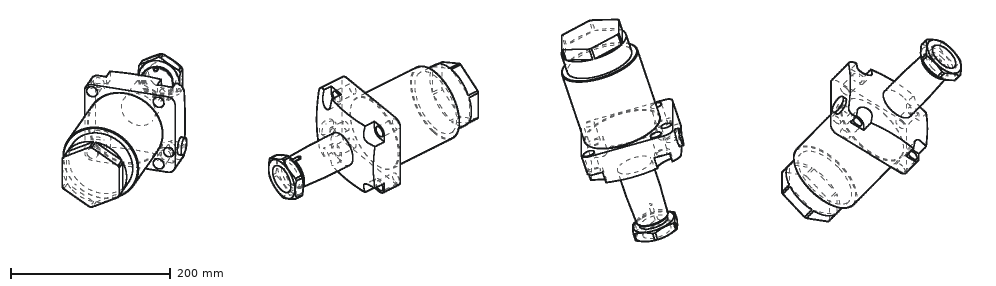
import cadquery as cq
import math


flange_half = 54.0
flange_right = 66.0
corner_radius = 10.0
crown_top = 51.0
crown_flat_radius = 24.5
crown_angle = 15.0

bolt_offset = 44.0
bolt_hole_radius = 7.0
bolt_seat_radius = 10.2
bolt_seat_height = 25.5

barrel_radius = 50.0
barrel_length = 98.0
barrel_chamfer = 1.0
cap_radius = 42.5
cap_end = 122.0
overall_length = 284.0
hex_end = 137.2
cap_hex_flats = 75.3

port_x = 57.5
port_radius = 6.5
plug_y = 20.5
plug_z = -25.0
plug_radius = 11.5
plug_thickness = 4.8

rod_diameter = 45.2
rod_radius = rod_diameter / 2
taper_start = 89.0
taper_end = 127.2
taper_end_diameter = 41.7
taper_end_radius = taper_end_diameter / 2
taper_chamfer_length = 1.5
taper_chamfer_depth = 0.9
neck_start = taper_end + taper_chamfer_length
stud_radius = 18.5
rod_end = overall_length - hex_end
notch_radius = 2.3
notch_bottom = 118.7
drill_point_angle = 90.0

nut_flats = 54.8
nut_thickness = 13.3
nut_corner_radius = 30.7
nut_face_radius = 26.7
nut_chamfer_height = 1.7


def hex_prism(flats, start, end):
    """Hexagonal bar along Y with two flats facing +X and -X."""
    across_corners = flats / math.cos(math.pi / 6)
    return (
        cq.Workplane("XZ", origin=(0, start, 0))
        .transformed(rotate=(0, 0, 30))
        .polygon(6, across_corners)
        .extrude(start - end)
    )


def cylinder(radius, start, end, x=0, z=0):
    """Round bar along Y."""
    return cq.Workplane("XZ", origin=(x, start, z)).circle(radius).extrude(start - end)


def turned(points):
    """Solid of revolution about Y from (radius, y) points."""
    return cq.Workplane("XY").polyline(points).close().revolve(360, (0, 0), (0, 1))


def make_flange():
    width = flange_half + flange_right
    middle_x = (flange_right - flange_half) / 2
    plate = (
        cq.Workplane("XZ", origin=(middle_x, 0, 0))
        .rect(width, 2 * flange_half)
        .extrude(-crown_top)
        .edges("|Y")
        .fillet(corner_radius)
    )
    cone_base = crown_flat_radius + crown_top / math.tan(math.radians(crown_angle))
    crown = turned([(0, 0), (cone_base, 0), (crown_flat_radius, crown_top), (0, crown_top)])
    return plate.intersect(crown)


def seat_block(x_size, z_size, x, z):
    """Rectangular cutter centred on (x, z), from the bolt seats up past the crown."""
    return (
        cq.Workplane("XZ", origin=(x, bolt_seat_height, z))
        .rect(x_size, z_size)
        .extrude(bolt_seat_height - crown_top)
    )


def bolt_seat(side, level):
    """Recess for one bolt head; side and level are -1 or 1 along X and Z."""
    x = side * bolt_offset
    z = level * bolt_offset
    width = 2 * bolt_seat_radius
    reach = 2 * bolt_seat_radius
    outer_x = x + side * reach / 2
    outer_z = z + level * reach / 2
    seat = cylinder(bolt_seat_radius, bolt_seat_height, crown_top, x, z)
    seat = seat.union(seat_block(width, reach, x, outer_z))
    if side < 0:
        seat = seat.union(seat_block(reach, width, outer_x, z))
        seat = seat.union(seat_block(reach, reach, outer_x, outer_z))
    return seat


def bolt_hole(side, level):
    return cylinder(bolt_hole_radius, 0, crown_top, side * bolt_offset, level * bolt_offset)


def make_barrel():
    """Main cylinder with an equal chamfer at both ends; the upper one leaves a small V groove."""
    barrel = cylinder(barrel_radius, -barrel_length, 0)
    return barrel.faces("<Y or >Y").chamfer(barrel_chamfer)


def make_housing():
    cap = cylinder(cap_radius, -cap_end, -barrel_length)
    cap_hex = hex_prism(cap_hex_flats, -hex_end, -cap_end)
    cap_hex = cap_hex.intersect(cylinder(cap_radius, -hex_end, -cap_end))
    housing = make_flange().union(make_barrel()).union(cap).union(cap_hex)
    for side in (-1, 1):
        for level in (-1, 1):
            housing = housing.cut(bolt_seat(side, level)).cut(bolt_hole(side, level))
    port = cylinder(port_radius, 0, plug_y, port_x, plug_z)
    return housing.cut(port)


def make_notch():
    """Drilled half-round notch on the +Z side of the taper, with a drill point."""
    point_length = notch_radius / math.tan(math.radians(drill_point_angle / 2))
    drill = turned([
        (0, notch_bottom - point_length),
        (notch_radius, notch_bottom),
        (notch_radius, neck_start),
        (0, neck_start),
    ])
    return drill.translate((0, 0, taper_end_radius))


def make_rod():
    rod = turned([
        (0, crown_top),
        (rod_radius, crown_top),
        (rod_radius, taper_start),
        (taper_end_radius, taper_end),
        (taper_end_radius - taper_chamfer_depth, neck_start),
        (stud_radius, neck_start),
        (stud_radius, rod_end),
        (0, rod_end),
    ])
    return rod.cut(make_notch())


def make_nut():
    start = rod_end - nut_thickness
    envelope = turned([
        (0, start),
        (nut_face_radius, start),
        (nut_corner_radius, start + nut_chamfer_height),
        (nut_corner_radius, rod_end - nut_chamfer_height),
        (nut_face_radius, rod_end),
        (0, rod_end),
    ])
    blank = hex_prism(nut_flats, start, rod_end).intersect(envelope)
    return blank.cut(cylinder(stud_radius, start, rod_end))


def make_plug():
    return (
        cq.Workplane("YZ", origin=(flange_right, plug_y, plug_z))
        .circle(plug_radius)
        .extrude(plug_thickness)
    )


housing = make_housing()
rod = make_rod()
nut = make_nut()
plug = make_plug()

result = cq.Compound.makeCompound([housing.val(), rod.val(), nut.val(), plug.val()])